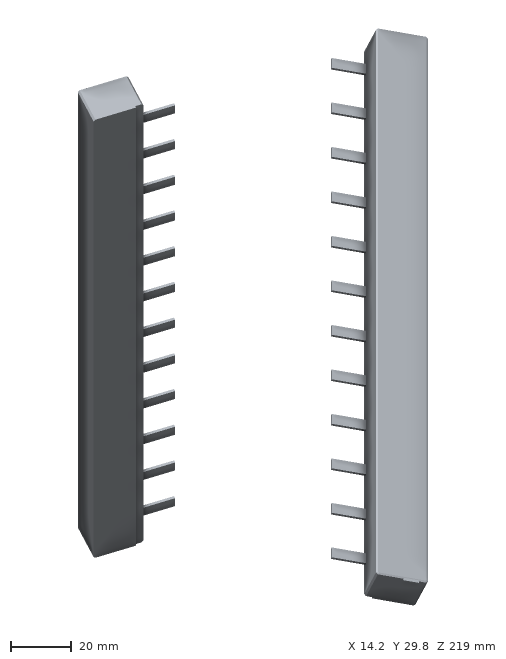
import cadquery as cq
import math

width = 14.2
overall_depth = 29.8
overall_height = 219.0

body_depth = 18.0
end_chamfer = 0.7
tab_drop = 0.7
body_height = overall_height - tab_drop

bevel_rise = 0.2
bevel_inset = 0.7

step_width = 0.7
step_depth = 2.8

tab_left = 0.1
tab_front = 3.0
tab_depth = 5.5
tab_thickness = 0.5

pin_count = 12
pin_row_length = 195.8
pin_pitch = pin_row_length / (pin_count - 1)
pin_height = 4.0
pin_thickness = 1.0
pin_left = 11.4
first_pin_bottom = 12.3
root_length = 2.2


def box_at(x, y, z, size_x, size_y, size_z):
    """Box with its left, front, lower corner at (x, y, z)."""
    return cq.Workplane("XY").box(size_x, size_y, size_z, centered=False).translate((x, y, z))


def make_housing():
    """Long bar with chamfered ends, a bevelled left face and a stepped rear right corner."""
    bar = box_at(bevel_rise, 0, tab_drop, width - bevel_rise, body_depth, body_height)
    bar = bar.edges("|X").chamfer(end_chamfer)
    bevel_angle = math.degrees(math.atan2(bevel_inset, bevel_rise))
    bevelled_face = bar.faces("<X").wires().toPending().workplane().extrude(
        bevel_rise, combine=False, taper=bevel_angle
    )
    step = box_at(
        width - step_width, body_depth - step_depth, tab_drop,
        step_width, step_depth, body_height,
    )
    return bar.union(bevelled_face).cut(step)


def make_tab():
    """Thin tab hanging below the housing."""
    return box_at(tab_left, tab_front, 0, tab_thickness, tab_depth, tab_drop + root_length)


def make_pin(index):
    """Flat pin sticking out of the rear face."""
    root = body_depth - root_length
    bottom = first_pin_bottom + index * pin_pitch
    return box_at(pin_left, root, bottom, pin_thickness, overall_depth - root, pin_height)


result = make_housing().union(make_tab())
for index in range(pin_count):
    result = result.union(make_pin(index))